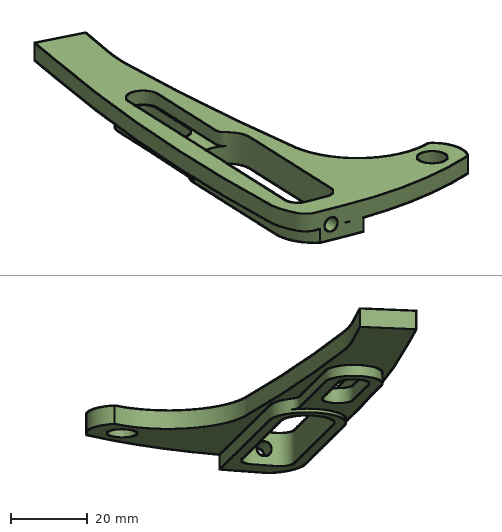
import cadquery as cq
import math

total_height = 9.0
plate_bottom = 4.0
small_pad_bottom = 0.99
recess_depth = 4.0

eye_x, eye_y = 118.1, 53.3
eye_radius = 9.4
eye_hole_diameter = 7.9
eye_left_angle = 153
eye_right_angle = 63

window_left, window_right = 74.7, 124.7
window_bottom, window_top = 6.2, 20.3
window_corner_radius = 4.0
window_y = (window_bottom + window_top) / 2
window_end_radius = (window_top - window_bottom) / 2
window_arc_x = window_left + window_end_radius

recess_radius = 4.5
recess_left = 40.7
recess_arc_x = recess_left + recess_radius
recess_y = window_bottom + recess_radius
recess_top = recess_y + recess_radius
recess_mouth_radius = 3.0
slot_radius = 4.1
slot_right = 64.8
slot_arc_x = slot_right - slot_radius

pad_wall = 3.0
pad_corner_x = 121.0
pad_corner_radius = 12.3
pad_blend_radius = 3.3
small_pad_step = 0.33
plate_right = 132.0

cross_hole_diameter = 4.0
cross_hole_y = window_y
cross_hole_z = total_height / 2


def eye_point(degrees):
    """Point on the outer rim of the eye."""
    angle = math.radians(degrees)
    return (eye_x + eye_radius * math.cos(angle), eye_y + eye_radius * math.sin(angle))


def plate_outline(bottom):
    """Solid of the lever outline from the given level up to the top face."""
    eye_top = (eye_x, eye_y + eye_radius)
    eye_left = eye_point(eye_left_angle)
    eye_right = eye_point(eye_right_angle)
    return (
        cq.Workplane("XY", origin=(0, 0, bottom))
        .moveTo(0, 6.0)
        .lineTo(1.6, 20.7)
        .lineTo(14.5, 19.1)
        .threePointArc((19.1, 18.7), (24.2, 18.7))
        .threePointArc((59.4, 21.9), (93.7, 26.8))
        .threePointArc((106.4, 34.3), eye_left)
        .threePointArc(eye_top, eye_right)
        .threePointArc((127.7, 47.9), (plate_right, 17.7))
        .lineTo(plate_right, 7.9)
        .threePointArc((131.2, 5.8), (129.4, 4.1))
        .threePointArc((126.0, 2.4), (122.2, 1.3))
        .threePointArc((83.7, 0), (14.8, 4.2))
        .close()
        .extrude(total_height - bottom)
    )


def round_ended_bar(left, right, center_y, radius, bottom, top):
    """Bar with a round left end and a square right end."""
    arc_x = left + radius
    return (
        cq.Workplane("XY", origin=(0, 0, bottom))
        .moveTo(right, center_y + radius)
        .lineTo(arc_x, center_y + radius)
        .threePointArc((left, center_y), (arc_x, center_y - radius))
        .lineTo(right, center_y - radius)
        .close()
        .extrude(top - bottom)
    )


def corner_blend(arc_center, arc_radius, edge_y, blend_radius, bottom, top):
    """Fill between a horizontal edge and the round end it runs into, concave side up and left."""
    center_x, center_y = arc_center
    reach = arc_radius + blend_radius
    blend_y = edge_y + blend_radius
    blend_x = center_x - math.sqrt(reach**2 - (blend_y - center_y) ** 2)
    ratio = blend_radius / reach
    touch = (blend_x + (center_x - blend_x) * ratio, blend_y + (center_y - blend_y) * ratio)
    middle_angle = (math.atan2(touch[1] - blend_y, touch[0] - blend_x) - math.pi / 2) / 2
    middle = (
        blend_x + blend_radius * math.cos(middle_angle),
        blend_y + blend_radius * math.sin(middle_angle),
    )
    return (
        cq.Workplane("XY", origin=(0, 0, bottom))
        .moveTo(blend_x, edge_y)
        .threePointArc(middle, touch)
        .lineTo(center_x, center_y)
        .lineTo(blend_x, center_y)
        .close()
        .extrude(top - bottom)
    )


def large_pad():
    """Pad around the window, its lower right corner rounded and its right side trimmed to the plate."""
    radius = window_end_radius + pad_wall
    bottom_y = window_y - radius
    corner_rise_angle = math.asin((plate_right - pad_corner_x) / pad_corner_radius)

    def corner_point(angle):
        x = pad_corner_x + pad_corner_radius * math.sin(angle)
        y = bottom_y + pad_corner_radius * (1 - math.cos(angle))
        return (x, y)

    pad = (
        cq.Workplane("XY")
        .moveTo(plate_right, window_y + radius)
        .lineTo(window_arc_x, window_y + radius)
        .threePointArc((window_arc_x - radius, window_y), (window_arc_x, bottom_y))
        .lineTo(pad_corner_x, bottom_y)
        .threePointArc(corner_point(corner_rise_angle / 2), corner_point(corner_rise_angle))
        .close()
        .extrude(plate_bottom)
    )
    return pad.intersect(plate_outline(0))


def small_pad():
    """Shallower pad around the recess, blended into the large pad."""
    radius = recess_radius + pad_wall
    bar = round_ended_bar(
        recess_left - pad_wall, window_arc_x, recess_y, radius, small_pad_bottom, plate_bottom
    )
    blend = corner_blend(
        (window_arc_x, window_y), window_end_radius + pad_wall, recess_y + radius,
        pad_blend_radius, small_pad_bottom, plate_bottom,
    )
    bottom_y = recess_y - radius
    sloped_edge = (
        cq.Workplane("XY", origin=(0, 0, small_pad_bottom))
        .moveTo(slot_arc_x, bottom_y)
        .lineTo(window_arc_x, bottom_y - small_pad_step)
        .lineTo(window_arc_x, recess_y)
        .lineTo(slot_arc_x, recess_y)
        .close()
        .extrude(plate_bottom - small_pad_bottom)
    )
    return bar.union(blend).union(sloped_edge)


def window():
    cutter = round_ended_bar(
        window_left, window_right, window_y, window_end_radius, 0, total_height
    )
    return cutter.edges("|Z and >X").fillet(window_corner_radius)


def recess():
    """Recess open to the window, the upper corner of its mouth rounded."""
    floor = total_height - recess_depth
    bar = round_ended_bar(recess_left, window_arc_x, recess_y, recess_radius, floor, total_height)
    mouth = corner_blend(
        (window_arc_x, window_y), window_end_radius, recess_top,
        recess_mouth_radius, floor, total_height,
    )
    return bar.union(mouth)


def floor_slot():
    slot_left = recess_arc_x - slot_radius
    return (
        cq.Workplane("XY")
        .center((slot_left + slot_right) / 2, recess_y)
        .slot2D(slot_right - slot_left, 2 * slot_radius)
        .extrude(total_height)
    )


def eye_hole():
    return cq.Workplane("XY").center(eye_x, eye_y).circle(eye_hole_diameter / 2).extrude(total_height)


def cross_hole():
    return (
        cq.Workplane("YZ", origin=(window_right - window_corner_radius, cross_hole_y, cross_hole_z))
        .circle(cross_hole_diameter / 2)
        .extrude(plate_right - window_right + window_corner_radius)
    )


result = plate_outline(plate_bottom).union(large_pad()).union(small_pad())
for cutter in (window(), recess(), floor_slot(), eye_hole(), cross_hole()):
    result = result.cut(cutter)